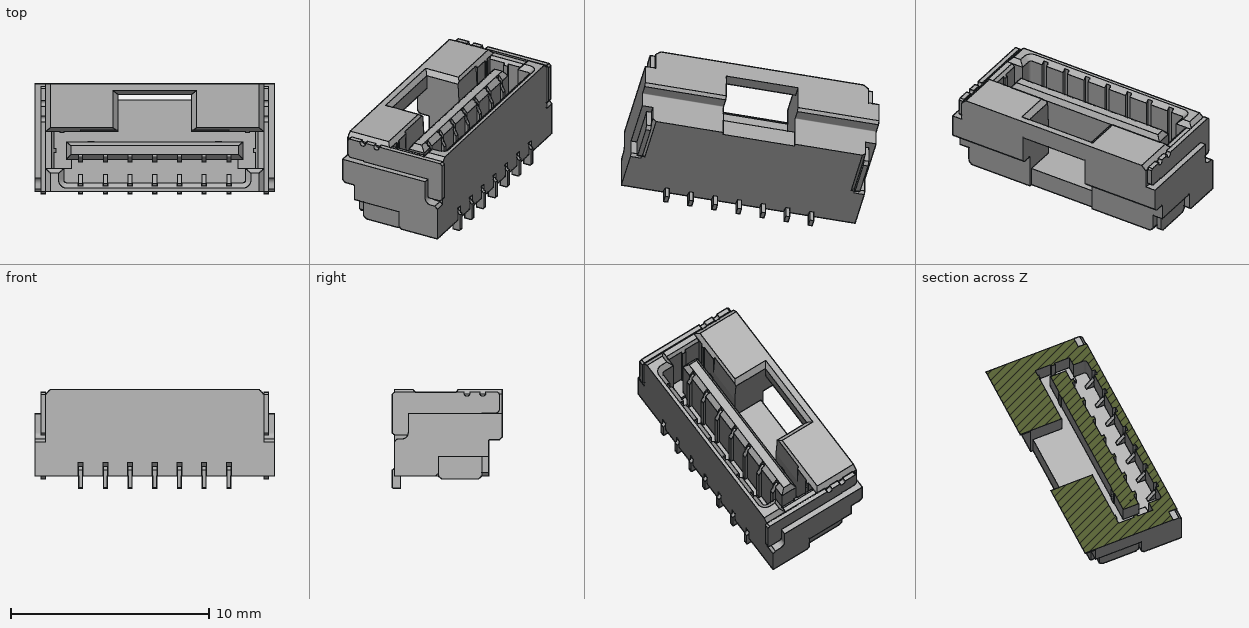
import cadquery as cq
import math


width = 12.1
depth = 5.45
height = 4.38
core_half_width = 5.5
foot_depth = 4.77
overhang_z = 1.83
overhang_chamfer = 0.15
overhang_fillet = 0.05

wing_top = 3.15
wing_front_y = 0.7
ledge_z = 1.88
ledge_fillet = 0.31
ledge_chamfer = 0.15

bevel_height = 0.24
shoulder_z = height - bevel_height
side_bevel = 0.25
front_wall_bevel = 0.23
rear_block_bevel = 0.19
mouth_bevel = 0.27

front_block_y = 1.16
rear_wall_y = 3.04
side_wall_x = 5.07
side_wall_bevel = 0.15
mouth_half_width = 4.59
mouth_front_y = 0.45
mouth_radius = 0.15
floor_z = 1.0
well_half_width = 4.21
well_floor_z = 0.8

window_half_width = 1.85
window_back_y = 4.9
window_side_bevel = 0.27
window_back_bevel = 0.2
floor_back_y = 4.63
bar_underside_z = 3.4

panel_end_x = 3.75
panel_slope = 0.08
panel_foot_z = 2.78

tongue_half_width = 4.44
tongue_front_y = 1.63
tongue_back_y = 2.5
tongue_top = 4.03
tongue_bevel_height = 0.29
tongue_side_bevel = 0.2
tongue_front_bevel = 0.24
tongue_back_bevel = 0.18

rear_rib_x = 4.67
rear_rib_width = 0.19
rear_rib_height = 0.05
tongue_rib_x = 3.21
tongue_rib_width = 0.3
tongue_rib_height = 0.04
side_rib_y = 2.08
side_rib_width = 0.22
side_rib_height = 0.08

front_reach = 0.11

contact_count = 7
contact_pitch = 1.25
contact_width = 0.2
slot_width = 0.25
groove_back_y = tongue_front_y + tongue_front_bevel
slot_depth = 0.19
slot_height = 0.68
lead_drop = 0.62
lead_back_y = 0.31
lead_shoulder_y = 0.11
lead_shoulder_z = 0.48
lead_bend_z = 0.3
lead_tip_chamfer = 0.05
tongue_tip_y = 1.74
tongue_tip_z = 3.68
tongue_tip_rise = 0.04
tongue_arm_y = 1.49
tongue_arm_z = 3.17
spring_slot_y = 0.29
spring_foot_y = 0.86
spring_crest_y = 0.41
spring_tip_z = 1.33

plate_outer_x = 5.75
plate_top = 4.24
plate_back_y = 5.3
plate_low_edge_z = 3.18
plate_arm_z = 2.07
plate_chamfer = 0.11
plate_top_chamfer = 0.08
plate_back_radius = 0.19
notch_positions = (3.67, 4.45)
notch_radius = 0.15
notch_depth = 0.2

leg_front_y = 2.21
leg_back_y = 4.42
leg_drop = 0.16
leg_chamfer = 0.18
recess_top = 0.98
recess_edge_chamfer = 0.17
recess_front_chamfer = 0.13

contact_xs = [
    (i - (contact_count - 1) / 2) * contact_pitch for i in range(contact_count)
]


def block(x0, x1, y0, y1, z0, z1):
    """Box between opposite corners."""
    return cq.Workplane("XY").box(x1 - x0, y1 - y0, z1 - z0, centered=False).translate((x0, y0, z0))


def along_x(profile, x0, x1):
    """Extrude a closed profile drawn in (y, z) from x0 to x1."""
    return profile.extrude(x1 - x0).translate((x0, 0, 0))


def slab(points, x0, x1):
    """Extrude a (y, z) polygon from x0 to x1."""
    return along_x(cq.Workplane("YZ").polyline(points).close(), x0, x1)


def both_sides(solid):
    """Add the mirror image on the other side of the part."""
    return solid.union(solid.mirror("YZ"))


def frustum(lower, upper, z0, z1):
    """Loft between two rectangles given as (half width, front y, back y)."""
    half0, front0, back0 = lower
    half1, front1, back1 = upper
    return (
        cq.Workplane("XY", origin=(0, (front0 + back0) / 2, z0))
        .rect(2 * half0, back0 - front0)
        .workplane(offset=z1 - z0)
        .center(0, (front1 + back1 - front0 - back0) / 2)
        .rect(2 * half1, back1 - front1)
        .loft(ruled=True)
    )


def housing_blank():
    """Full-width base with its wings, plus the taller core between them."""
    half = width / 2
    rear_outline = [
        (0, 0),
        (foot_depth, 0),
        (foot_depth, overhang_z),
        (depth - overhang_chamfer, overhang_z),
        (depth, overhang_z + overhang_chamfer),
    ]
    mid = ledge_fillet * (1 - math.sqrt(0.5))
    base_profile = (
        cq.Workplane("YZ")
        .polyline(rear_outline + [(depth, wing_top), (wing_front_y, wing_top)])
        .lineTo(wing_front_y, ledge_z + ledge_fillet)
        .threePointArc(
            (wing_front_y - mid, ledge_z + mid),
            (wing_front_y - ledge_fillet, ledge_z),
        )
        .lineTo(ledge_chamfer, ledge_z)
        .lineTo(0, ledge_z - ledge_chamfer)
        .close()
    )
    base = along_x(base_profile, -half, half)
    core = slab(rear_outline + [(depth, height), (0, height)], -core_half_width, core_half_width)
    inner_corner = cq.selectors.NearestToPointSelector((0, foot_depth, overhang_z))
    return base.union(core).clean().edges(inner_corner).fillet(overhang_fillet)


def top_bevels():
    """Drop between the front and rear blocks, and the bevels along the sides."""
    gap = slab(
        [
            (front_block_y, shoulder_z),
            (rear_wall_y, shoulder_z),
            (rear_wall_y + rear_block_bevel, height),
            (front_block_y - front_wall_bevel, height),
        ],
        -core_half_width,
        core_half_width,
    )
    edge = (
        cq.Workplane("XZ")
        .moveTo(core_half_width, shoulder_z)
        .lineTo(core_half_width, height)
        .lineTo(core_half_width - side_bevel, height)
        .close()
        .extrude(-depth)
    )
    return gap.union(both_sides(edge))


def cavity():
    """Opening for the mating plug, with its bevelled mouth."""
    main = block(-side_wall_x, side_wall_x, front_block_y, rear_wall_y, floor_z, height)
    rim_z = shoulder_z - side_wall_bevel
    rim = frustum(
        (side_wall_x, front_block_y, rear_wall_y),
        (side_wall_x + side_wall_bevel, front_block_y, rear_wall_y),
        rim_z,
        shoulder_z,
    )
    mouth_outline = block(
        -mouth_half_width, mouth_half_width, mouth_front_y, tongue_front_y, shoulder_z, height
    ).edges("|Z and <Y").fillet(mouth_radius)
    mouth_taper = math.degrees(math.atan(mouth_bevel / bevel_height))
    mouth = mouth_outline.faces("<Z").wires().toPending().workplane(invert=True).extrude(
        bevel_height, taper=-mouth_taper, combine=False
    )
    front = block(
        -mouth_half_width, mouth_half_width, mouth_front_y, front_block_y, well_floor_z, shoulder_z
    ).edges("|Z and <Y").fillet(mouth_radius)
    well = block(
        -well_half_width, well_half_width, front_block_y, tongue_front_y, well_floor_z, shoulder_z
    )
    return main.union(rim).union(front).union(well).union(mouth)


def window():
    """Bevelled window in the rear block, open at the back under its bar."""
    half = window_half_width
    top = block(-half, half, rear_wall_y, window_back_y, floor_z, height)
    back = block(-half, half, floor_back_y, depth, 0, bar_underside_z)
    bevel = frustum(
        (half, rear_wall_y, window_back_y),
        (half + window_side_bevel, rear_wall_y, window_back_y + window_back_bevel),
        shoulder_z,
        height,
    )
    return top.union(back).union(bevel)


def sloped_panels():
    """Thin wedges that lean the rear block's face back beside the window."""
    wedge = slab(
        [(rear_wall_y, panel_foot_z), (rear_wall_y + panel_slope, height), (rear_wall_y, height)],
        window_half_width,
        panel_end_x,
    )
    return both_sides(wedge)


def tongue():
    """Bevelled central tongue with a groove for each contact."""
    bevel_z = tongue_top - tongue_bevel_height
    lower = (tongue_half_width, tongue_front_y, tongue_back_y)
    upper = (
        tongue_half_width - tongue_side_bevel,
        groove_back_y,
        tongue_back_y - tongue_back_bevel,
    )
    body = block(
        -tongue_half_width, tongue_half_width, tongue_front_y, tongue_back_y, well_floor_z, bevel_z
    ).union(frustum(lower, upper, bevel_z, tongue_top))
    for x in contact_xs:
        body = body.cut(
            block(
                x - contact_width / 2,
                x + contact_width / 2,
                tongue_front_y,
                groove_back_y,
                floor_z,
                tongue_top,
            )
        )
    return body


def guide_ribs():
    """Ribs on the rear block, the back of the tongue and the side walls."""
    tongue_rib_top = tongue_top - tongue_bevel_height
    rear_rib_top = shoulder_z - rear_rib_height * bevel_height / rear_block_bevel
    rear = slab(
        [
            (rear_wall_y, floor_z),
            (rear_wall_y, shoulder_z),
            (rear_wall_y - rear_rib_height, rear_rib_top),
            (rear_wall_y - rear_rib_height, floor_z),
        ],
        rear_rib_x - rear_rib_width / 2,
        rear_rib_x + rear_rib_width / 2,
    )
    on_tongue = block(
        tongue_rib_x - tongue_rib_width / 2,
        tongue_rib_x + tongue_rib_width / 2,
        tongue_back_y,
        tongue_back_y + tongue_rib_height,
        floor_z,
        tongue_rib_top,
    )
    rim_z = shoulder_z - side_wall_bevel
    side = (
        cq.Workplane("XZ", origin=(0, side_rib_y - side_rib_width / 2, 0))
        .moveTo(side_wall_x, floor_z)
        .lineTo(side_wall_x, rim_z)
        .lineTo(side_wall_x - side_rib_height, rim_z - side_rib_height)
        .lineTo(side_wall_x - side_rib_height, floor_z)
        .close()
        .extrude(-side_rib_width)
    )
    return both_sides(rear.union(on_tongue).union(side))


def contact_slots(x):
    """Lead slot at the foot of the front wall and spring slot inside it."""
    x0 = x - slot_width / 2
    x1 = x + slot_width / 2
    lead = slab([(0, 0), (slot_depth, 0), (slot_depth, lead_shoulder_z), (0, slot_height)], x0, x1)
    spring = block(x0, x1, spring_slot_y, mouth_front_y, well_floor_z, height)
    return lead.union(spring)


def contact(x):
    """Outer lead, sprung arm at the front wall and fixed arm on the tongue."""
    x0 = x - contact_width / 2
    x1 = x + contact_width / 2
    lead = slab(
        [
            (-front_reach, lead_tip_chamfer - lead_drop),
            (lead_tip_chamfer - front_reach, -lead_drop),
            (lead_back_y, -lead_drop),
            (lead_back_y, lead_shoulder_z),
            (lead_shoulder_y, lead_shoulder_z),
            (-front_reach, lead_bend_z),
        ],
        x0,
        x1,
    )
    tip_radius = spring_crest_y - spring_slot_y
    spring_profile = (
        cq.Workplane("YZ")
        .moveTo(spring_slot_y, well_floor_z)
        .lineTo(spring_foot_y, well_floor_z)
        .lineTo(spring_crest_y, spring_tip_z)
        .radiusArc((spring_slot_y, spring_tip_z - tip_radius), -tip_radius)
        .close()
    )
    spring = along_x(spring_profile, x0, x1)
    fixed_profile = (
        cq.Workplane("YZ")
        .moveTo(groove_back_y, well_floor_z)
        .lineTo(groove_back_y, tongue_tip_z)
        .threePointArc(
            ((groove_back_y + tongue_tip_y) / 2, tongue_tip_z + tongue_tip_rise),
            (tongue_tip_y, tongue_tip_z),
        )
        .lineTo(tongue_arm_y, tongue_arm_z)
        .lineTo(tongue_arm_y, well_floor_z)
        .close()
    )
    fixed = along_x(fixed_profile, x0, x1)
    return lead.union(spring).union(fixed)


def leg_recess():
    """Pocket in the side of the housing, with chamfered bottom edges."""
    half = width / 2
    pocket = block(core_half_width, half, leg_front_y, foot_depth, 0, recess_top)
    bottom_edge = (
        cq.Workplane("XZ", origin=(0, leg_front_y, 0))
        .moveTo(core_half_width - recess_edge_chamfer, 0)
        .lineTo(core_half_width, 0)
        .lineTo(core_half_width, recess_edge_chamfer)
        .close()
        .extrude(leg_front_y - foot_depth)
    )
    front_edge = slab(
        [
            (leg_front_y - recess_front_chamfer, 0),
            (leg_front_y, 0),
            (leg_front_y, recess_front_chamfer),
        ],
        core_half_width,
        half,
    )
    return both_sides(pocket.union(bottom_edge).union(front_edge))


def hold_down_plates():
    """L-shaped upper plate with two notches, and the separate lower leg."""
    mid = plate_back_radius * (1 - math.sqrt(0.5))
    profile = (
        cq.Workplane("YZ")
        .moveTo(plate_chamfer - front_reach, plate_top)
        .lineTo(plate_back_y - plate_top_chamfer, plate_top)
        .lineTo(plate_back_y, plate_top - plate_top_chamfer)
        .lineTo(plate_back_y, plate_low_edge_z + plate_back_radius)
        .threePointArc(
            (plate_back_y - mid, plate_low_edge_z + mid),
            (plate_back_y - plate_back_radius, plate_low_edge_z),
        )
        .lineTo(leg_back_y, plate_low_edge_z)
        .lineTo(leg_back_y, wing_top)
        .lineTo(wing_front_y, wing_top)
        .lineTo(wing_front_y, plate_arm_z)
        .lineTo(plate_chamfer - front_reach, plate_arm_z)
        .lineTo(-front_reach, plate_arm_z + plate_chamfer)
        .lineTo(-front_reach, plate_top - plate_chamfer)
        .close()
    )
    plate = along_x(profile, core_half_width, plate_outer_x)
    for y in notch_positions:
        centre_z = plate_top - notch_depth + notch_radius
        groove = along_x(
            cq.Workplane("YZ").center(y, centre_z).circle(notch_radius),
            core_half_width,
            plate_outer_x,
        )
        opening = block(
            core_half_width, plate_outer_x, y - notch_radius, y + notch_radius, centre_z, plate_top
        )
        plate = plate.cut(groove).cut(opening)
    leg = slab(
        [
            (leg_front_y, recess_top),
            (leg_front_y, 0),
            (leg_front_y + leg_chamfer, -leg_drop),
            (leg_back_y - leg_chamfer, -leg_drop),
            (leg_back_y, 0),
            (leg_back_y, recess_top),
        ],
        core_half_width,
        plate_outer_x,
    )
    return both_sides(plate.union(leg))


body = housing_blank().cut(top_bevels()).cut(cavity()).cut(window()).cut(sloped_panels())
body = body.cut(leg_recess()).union(tongue()).union(guide_ribs())
for contact_x in contact_xs:
    body = body.cut(contact_slots(contact_x)).union(contact(contact_x))

result = body.union(hold_down_plates())